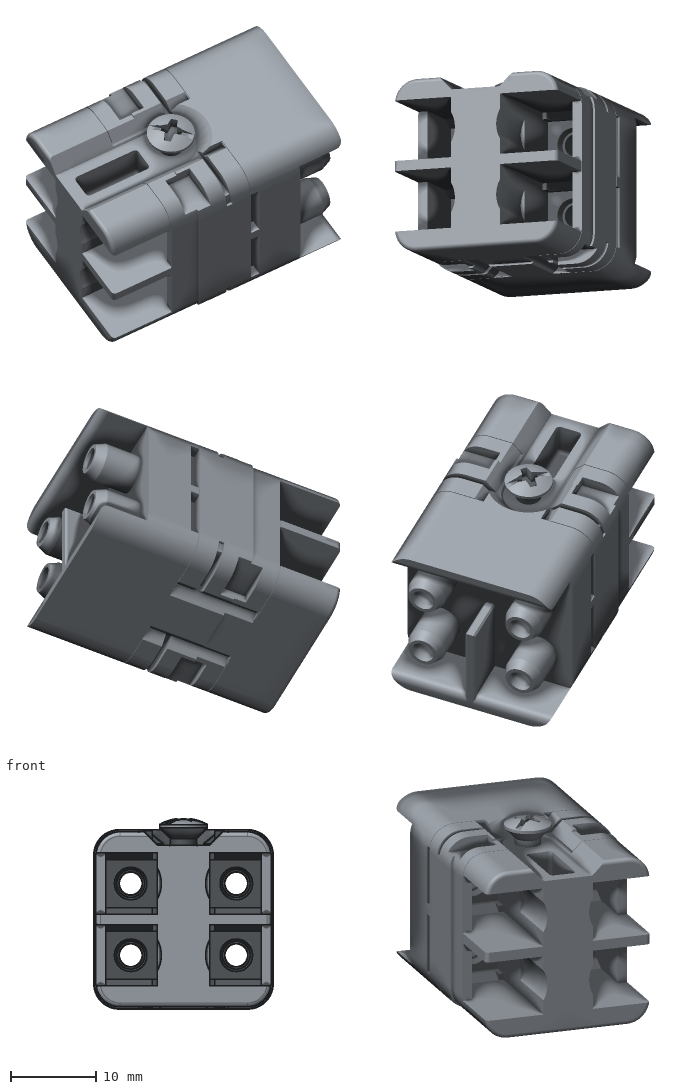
import cadquery as cq
import math

body_width = 21.0
body_height = 21.0
body_length = 31.2
corner_radius = 3.05
front_inset = 0.25
front_section_length = 11.58
front_edge_fillet = 0.5
half_width = body_width / 2
mid_z = body_height / 2
margin = 0.3

contact_x = 6.18
contact_spacing_z = 8.4
contact_levels = [mid_z - contact_spacing_z / 2, mid_z + contact_spacing_z / 2]
contact_spots = [(x, z) for x in (-contact_x, contact_x) for z in contact_levels]
bore_radius = 1.35
cup_radius = 1.9
cup_floor_radius = 1.62
cup_depth = 0.95
pin_radius = 2.35
pin_tip_radius = 1.8
pin_end = 30.8
pin_taper_length = 1.25

core_half_width = 3.1
chamber_half_height = 3.6
chamber_mouth_depth = 8.0
chamber_shoulder_start = 13.73
chamber_end = 15.6
chamber_outer_x = 9.08
chamber_neck_half_height = 2.8
shoulder_inner_x = 3.65
chamber_taper_length = 1.25
groove_radius = 3.6

rear_block_end = 25.25
rear_plate_thickness = 1.85
rear_lip_radius = 0.97
partition_thickness = 1.25
partition_top = 11.75
partition_chamfer = 0.22

clip_start = chamber_mouth_depth
clip_end = 18.55
seam_width = 0.1
seam_depth = 0.12
slit_start = 15.32
slit_end = 16.05
slit_floor_depth = 1.62
slit_side_x = 9.83
slit_side_foot_x = 10.17
slit_side_depth = 2.75
window_start = 10.0
window_end = 13.3
window_inner_x = 5.25
clip_gap_height = 0.25
ledge_z = body_height - slit_floor_depth
side_slot_length = 1.12
side_slot_depth = 1.4

channel_floor_half_width = 3.0
channel_floor_z = 19.15
channel_side_half_width = channel_floor_half_width + body_height - channel_floor_z
seat_relief_half_width = 3.65
screw_y = 13.85
screw_stem_radius = 1.53
screw_head_radius = 2.8
screw_neck_z = 19.95
screw_rim_bottom_z = 21.22
screw_rim_top_z = 21.6
screw_top_z = 22.35
cross_width = 0.8
cross_tip = 1.65
cross_tip_in_slot = 1.25
cross_inner_corner = 0.8
cross_floor_z = 20.65
screw_slot_width = 0.72
screw_slot_floor_z = 21.65

pocket_half_width = 1.6
pocket_start = 1.62
pocket_end = 10.15
pocket_depth = 4.0
pocket_fillet = 0.47

bottom_core_half_width = 2.55


def block(x_range, y_range, z_range):
    """Box between the given limits."""
    sizes = [end - start for start, end in (x_range, y_range, z_range)]
    corner = (x_range[0], y_range[0], z_range[0])
    return cq.Workplane("XY").box(*sizes, centered=False).translate(corner)


def mirrored(shape):
    """The shape together with its copy on the other side of the YZ plane."""
    return shape.union(shape.mirror("YZ"))


def section_plane(y):
    """Cross-section plane at y; positive extrusion runs towards the rear."""
    return cq.Workplane(cq.Plane(origin=(0, y, 0), xDir=(-1, 0, 0), normal=(0, 1, 0)))


def rounded_bar(inset, start, end):
    """Rounded square bar along Y, smaller than the body by the inset on every side."""
    bar = block(
        (-half_width + inset, half_width - inset), (start, end), (inset, body_height - inset)
    )
    return bar.edges("|Y").fillet(corner_radius - inset)


def rod(x, z, radius, start, end):
    return section_plane(start).center(-x, z).circle(radius).extrude(end - start)


def taper(x, z, start_radius, end_radius, start, end):
    return (
        section_plane(start).center(-x, z).circle(start_radius)
        .workplane(offset=end - start).circle(end_radius).loft()
    )


def make_shell():
    front = rounded_bar(front_inset, 0, front_section_length).faces("<Y").edges().fillet(front_edge_fillet)
    main = rounded_bar(0, front_section_length, body_length)
    return front.union(main)


def make_partition():
    """Low wall on the middle of the bottom plate, chamfered along its top and rear edges."""
    partition = block(
        (-partition_thickness / 2, partition_thickness / 2),
        (rear_block_end - margin, body_length),
        (rear_plate_thickness - rear_lip_radius, partition_top),
    )
    return partition.edges("(>Y and |Z) or (>Z and |Y)").chamfer(partition_chamfer)


def open_rear(body):
    """Leave only top and bottom plates with rounded inner lips behind the block."""
    lip_start = body_length - rear_lip_radius
    opening = block(
        (-half_width - margin, half_width + margin),
        (rear_block_end, body_length + margin),
        (rear_plate_thickness, body_height - rear_plate_thickness),
    )
    lip_bottom_z = rear_plate_thickness - rear_lip_radius
    lip_top_z = body_height - lip_bottom_z
    lip_bar = block(
        (-half_width - margin, half_width + margin),
        (lip_start, body_length),
        (lip_bottom_z, lip_top_z),
    )
    for z in (lip_bottom_z, lip_top_z):
        rounding = (
            cq.Workplane("YZ", origin=(-half_width - margin, lip_start, z))
            .circle(rear_lip_radius).extrude(body_width + 2 * margin)
        )
        lip_bar = lip_bar.cut(rounding)
    opening = opening.union(lip_bar)
    return body.cut(opening)


def make_chamber(x, z):
    """Wire chamber: open mouth, side groove, sloped shoulders, narrower neck."""
    side = math.copysign(1, x)

    def span(inner, outer):
        return tuple(sorted((side * inner, side * outer)))

    mouth = block(
        span(core_half_width, half_width + margin),
        (-margin, chamber_mouth_depth),
        (z - chamber_half_height, z + chamber_half_height),
    )
    neck = block(
        span(core_half_width, chamber_outer_x),
        (0, chamber_end),
        (z - chamber_neck_half_height, z + chamber_neck_half_height),
    )
    taper_end = chamber_shoulder_start + chamber_taper_length
    inside = block(
        span(core_half_width, chamber_outer_x),
        (0, chamber_shoulder_start),
        (z - chamber_half_height, z + chamber_half_height),
    )
    shoulder_x = span(shoulder_inner_x, chamber_outer_x)
    shoulders = (
        cq.Workplane("YZ", origin=(shoulder_x[0], 0, 0))
        .moveTo(chamber_shoulder_start, z - chamber_half_height)
        .lineTo(taper_end, z - chamber_neck_half_height)
        .lineTo(taper_end, z + chamber_neck_half_height)
        .lineTo(chamber_shoulder_start, z + chamber_half_height)
        .close()
        .extrude(shoulder_x[1] - shoulder_x[0])
    )
    groove = rod(x, z, groove_radius, -margin, chamber_mouth_depth).intersect(
        block(
            span(0, contact_x),
            (-margin, chamber_mouth_depth),
            (z - chamber_half_height, z + chamber_half_height),
        )
    )
    return mouth.union(neck).union(inside).union(shoulders).union(groove)


def add_contacts(body):
    for x, z in contact_spots:
        taper_start = pin_end - pin_taper_length
        body = body.cut(make_chamber(x, z))
        body = body.union(rod(x, z, pin_radius, rear_block_end - margin, taper_start))
        body = body.union(taper(x, z, pin_radius, pin_tip_radius, taper_start, pin_end))
        body = body.cut(taper(x, z, cup_radius, cup_floor_radius, chamber_end, chamber_end + cup_depth))
        body = body.cut(rod(x, z, bore_radius, 0, body_length))
    return body


def make_channel():
    """Top channel with sloping sides and a conical seat around the screw."""
    def channel_bar(start, end):
        return (
            section_plane(start)
            .moveTo(-channel_floor_half_width, channel_floor_z)
            .lineTo(channel_floor_half_width, channel_floor_z)
            .lineTo(channel_side_half_width, body_height)
            .lineTo(-channel_side_half_width, body_height)
            .close()
            .extrude(end - start)
        )

    seat = (
        cq.Workplane("XY", origin=(0, screw_y, channel_floor_z)).circle(channel_floor_half_width)
        .workplane(offset=body_height - channel_floor_z).circle(channel_side_half_width).loft()
    )
    beside_seat = channel_bar(screw_y, slit_end).intersect(
        block((-half_width, half_width), (screw_y, slit_end), (ledge_z, body_height))
    )
    behind_slit = channel_bar(slit_end, clip_end).cut(
        block(
            (-seat_relief_half_width, seat_relief_half_width),
            (slit_end, clip_end),
            (channel_floor_z, body_height),
        )
    )
    return channel_bar(0, screw_y).union(seat).union(beside_seat).union(behind_slit)


def make_floor_pocket():
    pocket = block(
        (-pocket_half_width, pocket_half_width),
        (pocket_start, pocket_end),
        (channel_floor_z - pocket_depth, channel_floor_z),
    )
    return pocket.edges("|Z or <Z").fillet(pocket_fillet)


def make_top_slit():
    """Cross slit behind the screw, running down the rounded sides."""
    slit = block(
        (-half_width - margin, half_width + margin),
        (slit_start, slit_end),
        (ledge_z, body_height + margin),
    )
    foot_z = body_height - slit_side_depth
    side = (
        section_plane(slit_start)
        .moveTo(-slit_side_x, ledge_z)
        .lineTo(-slit_side_foot_x, foot_z)
        .lineTo(-half_width - margin, foot_z)
        .lineTo(-half_width - margin, ledge_z)
        .close()
        .extrude(slit_end - slit_start)
    )
    return slit.union(mirrored(side))


def make_window():
    window = block(
        (window_inner_x, half_width + margin),
        (window_start, window_end),
        (ledge_z, body_height + margin),
    )
    return mirrored(window)


def make_clip_gap():
    """Thin gap between the clip and the ledge beside the channel floor."""
    gap = block(
        (channel_floor_half_width, window_inner_x),
        (clip_start, slit_start),
        (ledge_z, ledge_z + clip_gap_height),
    )
    return mirrored(gap)


def make_clip_end_gap():
    """Seam across the channel sides at the front end of the clips."""
    gap = block(
        (channel_floor_half_width, channel_side_half_width),
        (clip_start - seam_width, clip_start),
        (ledge_z, body_height),
    )
    return mirrored(gap)


def make_bottom_groove():
    """V groove between the clips and the core under the body."""
    width = channel_side_half_width - bottom_core_half_width
    groove = (
        section_plane(clip_start)
        .moveTo(bottom_core_half_width, 0)
        .lineTo(channel_side_half_width, 0)
        .lineTo(bottom_core_half_width + width / 2, width / 2)
        .close()
        .extrude(clip_end - clip_start)
    )
    return mirrored(groove)


def make_bottom_core():
    """Middle of the underside, widening upwards at 45 degrees, that the clip cuts leave whole."""
    top_half_width = bottom_core_half_width + slit_floor_depth
    return (
        section_plane(0)
        .moveTo(-bottom_core_half_width, -margin)
        .lineTo(bottom_core_half_width, -margin)
        .lineTo(bottom_core_half_width, 0)
        .lineTo(top_half_width, slit_floor_depth)
        .lineTo(-top_half_width, slit_floor_depth)
        .lineTo(-bottom_core_half_width, 0)
        .close()
        .extrude(body_length)
    )


def make_seam(y, inset):
    """Shallow parting line around the body, kept clear of the core."""
    ring = rounded_bar(0, y, y + seam_width).cut(
        rounded_bar(inset + seam_depth, y, y + seam_width)
    )
    core = block(
        (-seat_relief_half_width, seat_relief_half_width), (y, y + seam_width), (0, body_height)
    )
    return ring.cut(core)


def make_side_slots():
    """Deep slots in the side walls, one beside each contact."""
    slots = cq.Workplane("XY")
    for z in contact_levels:
        slot = block(
            (half_width - side_slot_depth, half_width + margin),
            (clip_end, clip_end + side_slot_length),
            (z - chamber_half_height, z + chamber_half_height),
        )
        slots = slots.add(slot)
    return mirrored(slots.combine())


def make_cross():
    """Cross recess outline: four arms that flare towards the middle, shorter along the slot."""
    points = []
    for arm in range(4):
        angle = math.pi / 2 * arm
        tip = cross_tip_in_slot if arm % 2 == 0 else cross_tip
        for along, across in ((tip, -cross_width / 2), (tip, cross_width / 2)):
            points.append((
                along * math.cos(angle) - across * math.sin(angle),
                along * math.sin(angle) + across * math.cos(angle),
            ))
        corner_angle = angle + math.pi / 4
        points.append((
            cross_inner_corner * math.cos(corner_angle),
            cross_inner_corner * math.sin(corner_angle),
        ))
    return (
        cq.Workplane("XY", origin=(0, 0, cross_floor_z)).polyline(points).close()
        .extrude(screw_top_z - cross_floor_z)
    )


def make_screw():
    """Oval-head screw with a cross recess and a shallow slot, both turned 45 degrees."""
    dome_rise = screw_top_z - screw_rim_top_z
    dome_radius = (screw_head_radius**2 + dome_rise**2) / (2 * dome_rise)
    mid_radius = screw_head_radius / 2
    mid_dome_z = screw_top_z - dome_radius + math.sqrt(dome_radius**2 - mid_radius**2)
    screw = (
        cq.Workplane("XZ")
        .moveTo(0, channel_floor_z - margin)
        .lineTo(screw_stem_radius, channel_floor_z - margin)
        .lineTo(screw_stem_radius, screw_neck_z)
        .lineTo(screw_head_radius, screw_rim_bottom_z)
        .lineTo(screw_head_radius, screw_rim_top_z)
        .threePointArc((mid_radius, mid_dome_z), (0, screw_top_z))
        .close()
        .revolve(360, (0, 0, 0), (0, 1, 0))
    )
    slot = block(
        (-screw_head_radius - margin, screw_head_radius + margin),
        (-screw_slot_width / 2, screw_slot_width / 2),
        (screw_slot_floor_z, screw_top_z),
    )
    screw = screw.cut(slot).cut(make_cross())
    return screw.rotate((0, 0, 0), (0, 0, 1), 45).translate((0, screw_y, 0))


def cut_clips(body):
    body = body.cut(make_seam(clip_start - seam_width, front_inset)).cut(make_seam(clip_end, 0))
    core = make_bottom_core()
    for cutter in (make_top_slit(), make_window(), make_clip_gap()):
        underside = cutter.mirror("XY", (0, 0, mid_z)).cut(core)
        body = body.cut(cutter).cut(underside)
    return body.cut(make_clip_end_gap()).cut(make_bottom_groove()).cut(make_side_slots())


shell = open_rear(make_shell()).union(make_partition())
shell = shell.cut(make_channel()).cut(make_floor_pocket())
shell = cut_clips(shell)
result = add_contacts(shell).union(make_screw())